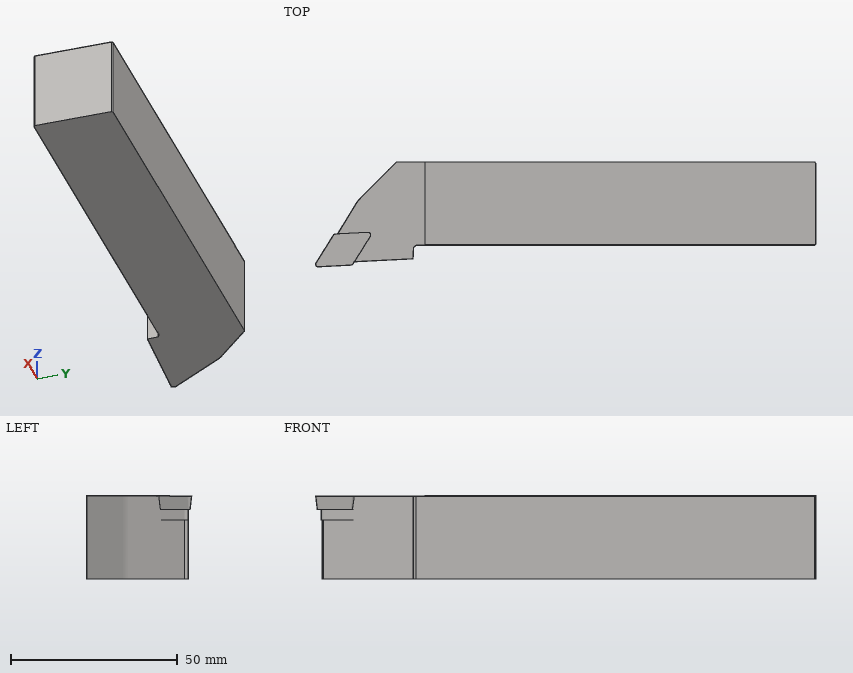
import cadquery as cq
import math

total_length = 150
height = 25.0
shank_width = 25.0
overall_width = 31.5
tip_y = shank_width - overall_width

shank_start = 32.8
shank_rise = 0.2
end_chamfer = 0.5
top_chamfer = 0.22
head_height = height - shank_rise

head_back_x = 24.3
head_break_upper = (13.4, 14.1)
head_break_lower = (12.2, 12.6)
head_tip_upper = (2.0, -4.2)
head_tip_lower = (2.4, -5.4)
head_heel = (29.2, -4.0)
heel_relief_start = (29.4, -0.6)
heel_relief_end_x = 30.2

insert_circle = 9.6
nose_angle = 55
approach_angle = 3
nose_radius = 0.8
insert_thickness = 4.0
clearance_angle = 7
plate_thickness = 3.2
plate_nose_inset = 0.9
plate_rear_inset = 0.2


def rhombus_face(z, nose_inset=0.0, rear_inset=0.0):
    """Insert outline at height z, its two nose sides and two rear sides moved inward."""
    side = insert_circle / math.sin(math.radians(nose_angle))
    nose_to_apex = nose_radius / math.sin(math.radians(nose_angle / 2))
    diagonal_angle = math.radians(approach_angle + nose_angle / 2)
    apex_x = nose_radius - nose_to_apex * math.cos(diagonal_angle)
    apex_y = tip_y + nose_radius - nose_to_apex * math.sin(diagonal_angle)

    apex_shift = nose_inset / math.sin(math.radians(nose_angle / 2))
    apex_x += apex_shift * math.cos(diagonal_angle)
    apex_y += apex_shift * math.sin(diagonal_angle)
    side -= (nose_inset + rear_inset) / math.sin(math.radians(nose_angle))

    low = math.radians(approach_angle)
    steep = math.radians(approach_angle + nose_angle)
    low_step = (side * math.cos(low), side * math.sin(low))
    steep_step = (side * math.cos(steep), side * math.sin(steep))
    corners = [
        (apex_x, apex_y),
        (apex_x + low_step[0], apex_y + low_step[1]),
        (apex_x + low_step[0] + steep_step[0], apex_y + low_step[1] + steep_step[1]),
        (apex_x + steep_step[0], apex_y + steep_step[1]),
    ]
    sketch = cq.Sketch().polygon(corners + corners[:1]).vertices().fillet(nose_radius)
    return cq.Workplane("XY", origin=(0, 0, z)).placeSketch(sketch)


def make_insert():
    """Insert with its top flush with the head and its flanks leaning inward below."""
    return rhombus_face(head_height).extrude(-insert_thickness, taper=clearance_angle)


def make_shank():
    shank = cq.Workplane("XY").box(
        total_length - shank_start, shank_width, height, centered=False
    ).translate((shank_start, 0, 0))
    shank = shank.edges("|Z and >X").chamfer(end_chamfer)
    return shank.edges(">Z and |X and <Y").chamfer(top_chamfer)


def make_head():
    return (
        cq.Workplane("XY")
        .moveTo(shank_start, shank_width)
        .lineTo(head_back_x, shank_width)
        .lineTo(*head_break_upper)
        .tangentArcPoint(head_break_lower, relative=False)
        .lineTo(*head_tip_upper)
        .lineTo(*head_tip_lower)
        .lineTo(*head_heel)
        .lineTo(*heel_relief_start)
        .lineTo(heel_relief_end_x, 0)
        .lineTo(shank_start, 0)
        .close()
        .extrude(head_height)
    )


def make_holder(insert):
    """Shank, head and seat plate in one piece, with a pocket matching the insert."""
    plate_top = head_height - insert_thickness
    plate = rhombus_face(plate_top, plate_nose_inset, plate_rear_inset).extrude(-plate_thickness)
    return make_shank().union(make_head()).cut(insert).union(plate)


insert = make_insert()
holder = make_holder(insert)

result = cq.Compound.makeCompound([holder.val(), insert.val()])